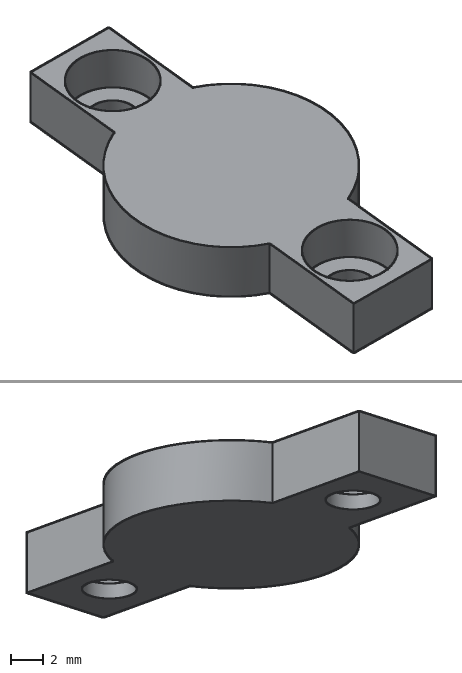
import cadquery as cq

length = 30.0
thickness = 4.0
disc_diameter = 15.8
bar_width = 6.5

hole_spacing = 22.0
hole_diameter = 3.4
counterbore_diameter = 5.9
counterbore_depth = 3.0

disc = cq.Workplane("XY").circle(disc_diameter / 2).extrude(thickness)
bar = cq.Workplane("XY").rect(length, bar_width).extrude(thickness)
body = disc.union(bar)

result = (
    body.faces(">Z")
    .workplane(origin=(0, 0, thickness))
    .pushPoints([(-hole_spacing / 2, 0), (hole_spacing / 2, 0)])
    .cboreHole(hole_diameter, counterbore_diameter, counterbore_depth)
)